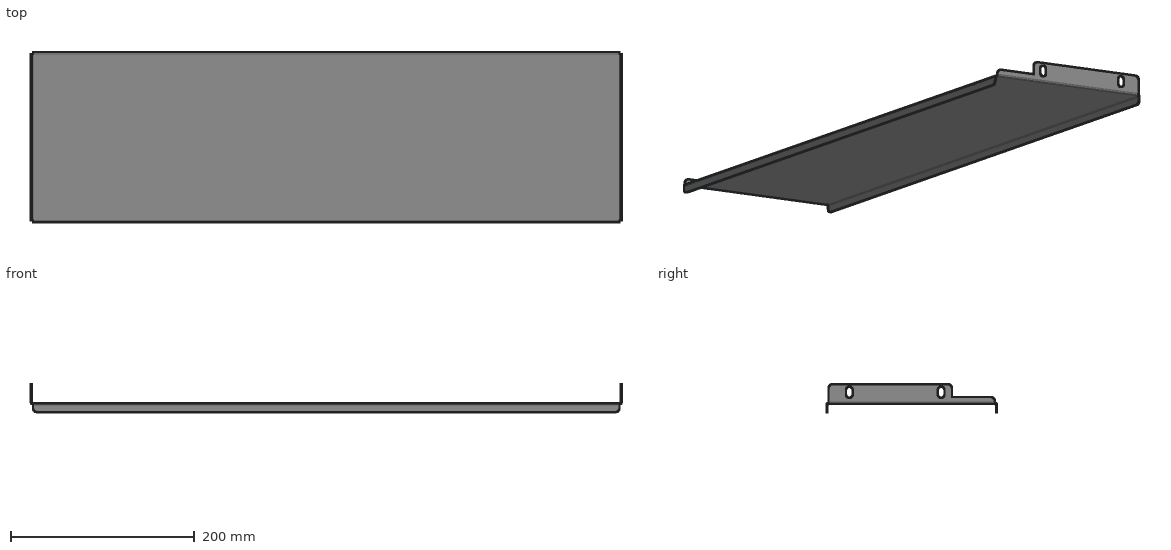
import cadquery as cq

length = 644.0
width = 186.0

sheet = 1.2
bend_inner_radius = 1.0
bend_outer_radius = bend_inner_radius + sheet

drop_depth = 10.0
panel_top = drop_depth
panel_bottom = panel_top - sheet

tall_height = 22.0
low_height = 8.0
tall_length = 137.0
tall_top = panel_bottom + tall_height
low_top = panel_bottom + low_height

corner_radius = 5.0

drop_flange_inset = 2.2
side_flange_inset = 2.2
drop_flange_length = length - 2 * drop_flange_inset
side_flange_length = width - 2 * side_flange_inset
front = -width / 2
side_front = front + side_flange_inset
side_back = -side_front
step_y = front + tall_length

slot_width = 7.0
slot_height = 12.0
slot_rise = 13.0
slot_center_z = panel_bottom + slot_rise
slot_first_from_front = 25.0
slot_spacing = 100.0
slot_count = 2


def side_section():
    """Closed outline of the panel with both end flanges bent up, in XZ."""
    outer = length / 2
    inner = outer - sheet
    tangent = outer - bend_outer_radius
    bend_z = panel_bottom + bend_outer_radius
    return (
        cq.Workplane("XZ")
        .moveTo(-tangent, panel_bottom)
        .lineTo(tangent, panel_bottom)
        .radiusArc((outer, bend_z), -bend_outer_radius)
        .lineTo(outer, tall_top)
        .lineTo(inner, tall_top)
        .lineTo(inner, bend_z)
        .radiusArc((tangent, panel_top), bend_inner_radius)
        .lineTo(-tangent, panel_top)
        .radiusArc((-inner, bend_z), bend_inner_radius)
        .lineTo(-inner, tall_top)
        .lineTo(-outer, tall_top)
        .lineTo(-outer, bend_z)
        .radiusArc((-tangent, panel_bottom), -bend_outer_radius)
        .close()
    )


def side_profile():
    """Stepped outline of a side flange in YZ, as a block across the full length."""
    return (
        cq.Workplane("YZ")
        .moveTo(side_front, panel_bottom)
        .lineTo(side_back, panel_bottom)
        .lineTo(side_back, low_top - corner_radius)
        .radiusArc((side_back - corner_radius, low_top), -corner_radius)
        .lineTo(step_y, low_top)
        .lineTo(step_y, tall_top - corner_radius)
        .radiusArc((step_y - corner_radius, tall_top), -corner_radius)
        .lineTo(side_front + corner_radius, tall_top)
        .radiusArc((side_front, tall_top - corner_radius), -corner_radius)
        .close()
        .extrude(length / 2, both=True)
    )


def panel_with_sides():
    """Panel and its two upturned side flanges, trimmed to the stepped outline."""
    tray = side_section().extrude(side_flange_length / 2, both=True)
    return tray.intersect(side_profile())


def drop_flange():
    """Downturned flange along the back edge, bend and rounded lower corners included."""
    outer = width / 2
    inner = outer - sheet
    tangent = outer - bend_outer_radius
    bend_z = panel_top - bend_outer_radius
    return (
        cq.Workplane("YZ")
        .moveTo(tangent, panel_top)
        .radiusArc((outer, bend_z), bend_outer_radius)
        .lineTo(outer, 0)
        .lineTo(inner, 0)
        .lineTo(inner, bend_z)
        .radiusArc((tangent, panel_bottom), -bend_inner_radius)
        .close()
        .extrude(drop_flange_length / 2, both=True)
        .edges("|Y")
        .edges("<Z")
        .fillet(corner_radius)
    )


def slot_cutters():
    """Vertical slots running through both side flanges."""
    first_y = front + slot_first_from_front
    centers = [(first_y + i * slot_spacing, slot_center_z) for i in range(slot_count)]
    return (
        cq.Workplane("YZ")
        .pushPoints(centers)
        .slot2D(slot_height, slot_width, 90)
        .extrude(length, both=True)
    )


back_flange = drop_flange()
front_flange = back_flange.mirror("XZ")
result = panel_with_sides().union(back_flange).union(front_flange).cut(slot_cutters())